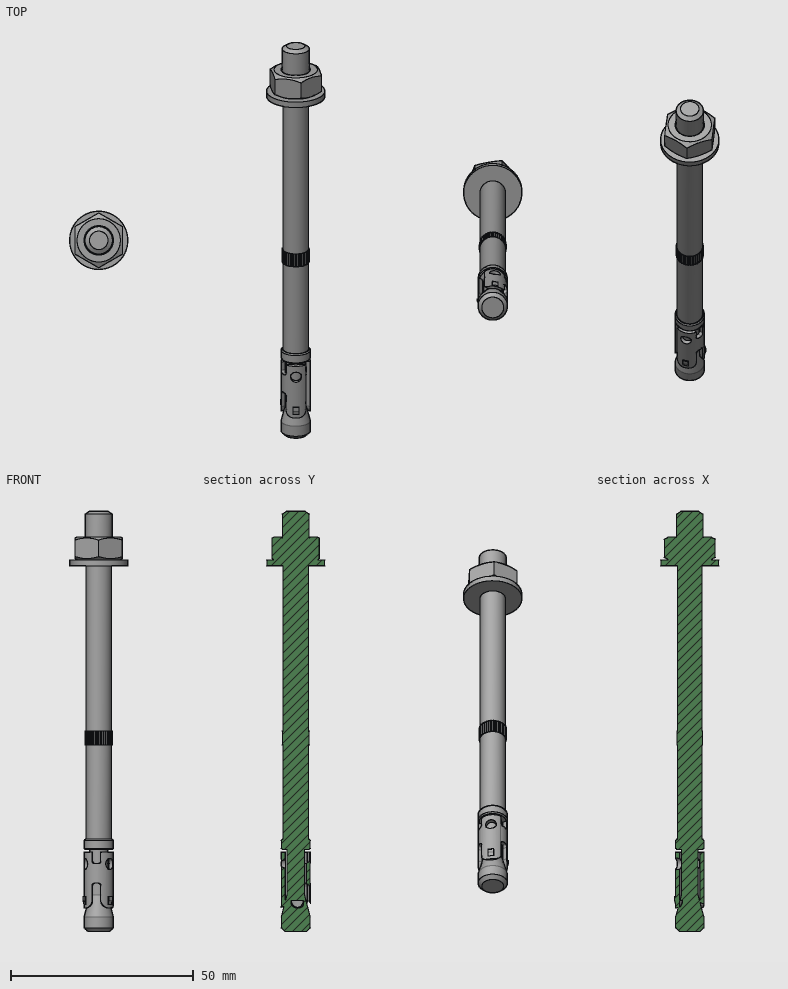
import cadquery as cq
import math

anchor_length = 115.0

foot_diameter = 8.0
foot_tip_diameter = 6.0
foot_chamfer_height = 1.0
cone_base_height = 4.0
cone_top_height = 10.0
neck_diameter = 5.0

shank_diameter = 7.0
collar_bottom = 22.4
collar_top = 25.3
collar_edge_chamfer = 0.3
thread_diameter = 7.5
thread_tip_diameter = 5.1
thread_tip_height = 0.8

knurl_bottom = 51.1
knurl_height = 3.8
knurl_diameter = 7.5
knurl_root_diameter = 7.1
knurl_teeth = 36

sleeve_diameter = 8.0
sleeve_bore_diameter = 5.8
sleeve_bottom = 6.4
sleeve_top = 21.7
sleeve_segments = 3
sleeve_turn = 20.0
seam_index = 1
slot_width = 2.4
slot_end_fillet = 0.7
slot_top = 13.2
notch_bottom = 18.6
tongue_corner_radius = 2.1
window_diameter = 3.0
window_height = 18.5
nub_width = 1.6
nub_bottom = 7.5
nub_height = 2.2
nub_projection = 0.29
nub_root_radius = 3.5
nub_land_height = 1.2

washer_diameter = 16.0
washer_bottom = 100.0
washer_thickness = 1.6
nut_height = 6.3
nut_across_flats = 13.0
nut_face_diameter = 11.8
nut_bevel_angle = 30.0
nut_mouth_diameter = 8.0

washer_top = washer_bottom + washer_thickness
nut_top = washer_top + nut_height
sleeve_radius = sleeve_diameter / 2
segment_angle = 360.0 / sleeve_segments


def make_bolt():
    """Turned bolt body: foot, cone, neck, collar, shank and threaded end."""
    foot_radius = foot_diameter / 2
    neck_radius = neck_diameter / 2
    shank_radius = shank_diameter / 2
    thread_radius = thread_diameter / 2
    profile = [
        (0, 0),
        (foot_tip_diameter / 2, 0),
        (foot_radius, foot_chamfer_height),
        (foot_radius, cone_base_height),
        (neck_radius, cone_top_height),
        (neck_radius, collar_bottom),
        (foot_radius - collar_edge_chamfer, collar_bottom),
        (foot_radius, collar_bottom + collar_edge_chamfer),
        (foot_radius, collar_top - collar_edge_chamfer),
        (foot_radius - collar_edge_chamfer, collar_top),
        (shank_radius, collar_top),
        (shank_radius, washer_top),
        (thread_radius, washer_top),
        (thread_radius, anchor_length - thread_tip_height),
        (thread_tip_diameter / 2, anchor_length),
        (0, anchor_length),
    ]
    return cq.Workplane("XZ").polyline(profile).close().revolve(360, (0, 0, 0), (0, 1, 0))


def make_knurl():
    """Band of straight V-shaped teeth around the shank."""
    points = []
    for step in range(2 * knurl_teeth):
        diameter = knurl_diameter if step % 2 == 0 else knurl_root_diameter
        angle = math.pi * step / knurl_teeth
        points.append((diameter / 2 * math.cos(angle), diameter / 2 * math.sin(angle)))
    base = cq.Workplane("XY").workplane(offset=knurl_bottom)
    return base.polyline(points).close().extrude(knurl_height)


def radial_plane(angle):
    """Plane through the axis whose normal points outward; local x is tangential, local y is Z."""
    turn = math.radians(angle)
    return cq.Workplane(cq.Plane(
        origin=(0, 0, 0),
        xDir=(-math.sin(turn), math.cos(turn), 0),
        normal=(math.cos(turn), math.sin(turn), 0),
    ))


def tangential_plane(angle):
    """Plane through the axis at the given angle; local x is radial, local y is Z."""
    turn = math.radians(angle)
    return cq.Workplane(cq.Plane(
        origin=(0, 0, 0),
        xDir=(math.cos(turn), math.sin(turn), 0),
        normal=(math.sin(turn), -math.cos(turn), 0),
    ))


def make_slot(angle, slot_end):
    """Slot rising from the sleeve's lower edge, flared there to round the tongue corners."""
    half = slot_width / 2
    corner = tongue_corner_radius
    arc_offset = corner * (1 - math.sqrt(0.5))
    return (
        radial_plane(angle)
        .moveTo(-half - corner, sleeve_bottom)
        .threePointArc(
            (-half - arc_offset, sleeve_bottom + arc_offset),
            (-half, sleeve_bottom + corner),
        )
        .lineTo(-half, slot_end)
        .lineTo(half, slot_end)
        .lineTo(half, sleeve_bottom + corner)
        .threePointArc(
            (half + arc_offset, sleeve_bottom + arc_offset),
            (half + corner, sleeve_bottom),
        )
        .close()
        .extrude(sleeve_diameter)
    )


def round_slot_end(slot, end_selector, angle):
    """Round the two corners at the closed end of a slot cutter."""
    radial = radial_plane(angle).plane.zDir
    return slot.faces(end_selector).edges(cq.selectors.ParallelDirSelector(radial)).fillet(slot_end_fillet)


def make_notch(angle):
    """Short notch sunk from the sleeve's upper edge."""
    depth = sleeve_top - notch_bottom
    return (
        radial_plane(angle)
        .center(0, notch_bottom + depth / 2)
        .rect(slot_width, depth)
        .extrude(sleeve_diameter)
    )


def make_window(angle):
    """Round hole through the sleeve wall."""
    return radial_plane(angle).center(0, window_height).circle(window_diameter / 2).extrude(sleeve_diameter)


def make_nub(angle):
    """Raised catch: a short land at the top that ramps down into the sleeve."""
    nub_top = nub_bottom + nub_height
    crest_radius = sleeve_radius + nub_projection
    return (
        tangential_plane(angle)
        .polyline([
            (nub_root_radius, nub_bottom),
            (sleeve_radius, nub_bottom),
            (crest_radius, nub_top - nub_land_height),
            (crest_radius, nub_top),
            (nub_root_radius, nub_top),
        ])
        .close()
        .extrude(nub_width / 2, both=True)
    )


def make_sleeve():
    """Thin split sleeve with one full seam, two slot-and-notch pairs, windows and nubs."""
    sleeve = (
        cq.Workplane("XY")
        .workplane(offset=sleeve_bottom)
        .circle(sleeve_radius)
        .circle(sleeve_bore_diameter / 2)
        .extrude(sleeve_top - sleeve_bottom)
    )
    for index in range(sleeve_segments):
        slot_angle = sleeve_turn + index * segment_angle
        tongue_angle = slot_angle + segment_angle / 2
        if index == seam_index:
            sleeve = sleeve.cut(make_slot(slot_angle, sleeve_top))
        else:
            sleeve = sleeve.cut(round_slot_end(make_slot(slot_angle, slot_top), ">Z", slot_angle))
            sleeve = sleeve.cut(round_slot_end(make_notch(slot_angle), "<Z", slot_angle))
        sleeve = sleeve.cut(make_window(tongue_angle)).union(make_nub(tongue_angle))
    return sleeve


def make_washer():
    """Plain washer under the nut."""
    base = cq.Workplane("XY").workplane(offset=washer_bottom)
    return base.circle(washer_diameter / 2).extrude(washer_thickness)


def make_nut():
    """Hexagon nut with bevelled corners at both ends and a countersunk mouth on top."""
    corner_radius = nut_across_flats / math.sqrt(3)
    face_radius = nut_face_diameter / 2
    bevel = (corner_radius - face_radius) * math.tan(math.radians(nut_bevel_angle))
    hexagon = (
        cq.Workplane("XY")
        .workplane(offset=washer_top)
        .transformed(rotate=(0, 0, 90))
        .polygon(6, 2 * corner_radius)
        .extrude(nut_height)
    )
    envelope = (
        cq.Workplane("XZ")
        .polyline([
            (0, washer_top),
            (face_radius, washer_top),
            (corner_radius, washer_top + bevel),
            (corner_radius, nut_top - bevel),
            (face_radius, nut_top),
            (0, nut_top),
        ])
        .close()
        .revolve(360, (0, 0, 0), (0, 1, 0))
    )
    mouth_depth = (nut_mouth_diameter - thread_diameter) / 2
    mouth = (
        cq.Workplane("XY")
        .workplane(offset=nut_top)
        .circle(nut_mouth_diameter / 2)
        .workplane(offset=-mouth_depth)
        .circle(thread_diameter / 2)
        .loft()
    )
    return hexagon.intersect(envelope).cut(mouth)


result = (
    make_nut()
    .union(make_washer())
    .union(make_bolt())
    .union(make_knurl())
    .union(make_sleeve())
)